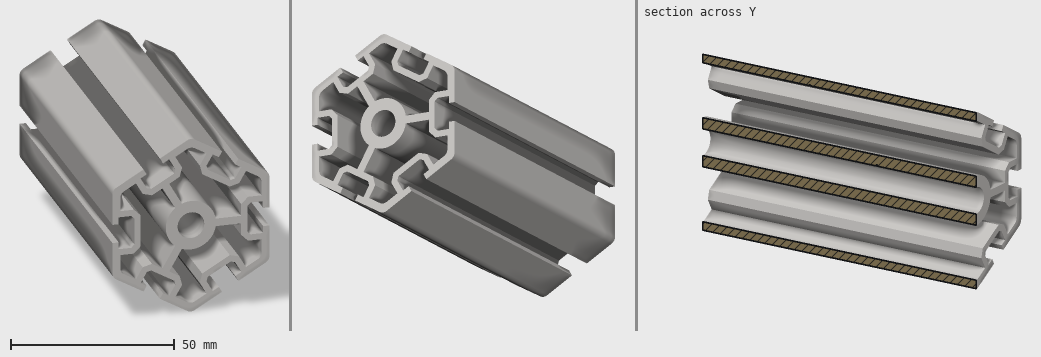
import cadquery as cq
import math

length = 100.0
across_flats = 50.0
outer_corner_radius = 2.5
wall = 2.5
inner_corner_radius = outer_corner_radius

side_count = 6
slot_opening = 6.0
lip_thickness = 2.0
slot_width = 10.5
slot_depth = 7.0
slot_chamfer = 1.0

channel_wall = 2.0
channel_width = slot_width + 2 * channel_wall
channel_depth = slot_depth + channel_wall
channel_chamfer = slot_chamfer + channel_wall * (2 - math.sqrt(2))

hub_diameter = 16.0
bore_diameter = 8.5
rib_count = 3
rib_thickness = 2.5

apothem = across_flats / 2


def hexagonal_bar(bar_apothem, corner_radius):
    """Hexagonal bar with flats facing +Y and -Y and rounded edges along X."""
    circumradius = bar_apothem / math.cos(math.pi / side_count)
    corner_angles = [math.pi / 2 + 2 * math.pi * i / side_count for i in range(side_count)]
    corners = [(circumradius * math.cos(a), circumradius * math.sin(a)) for a in corner_angles]
    bar = cq.Workplane("YZ").polyline(corners).close().extrude(length)
    return bar.edges("|X").fillet(corner_radius)


def side_bar(inner_y, outer_y, width):
    """Rectangular bar along X between two Y positions, centred on Z = 0."""
    middle_y = (inner_y + outer_y) / 2
    return cq.Workplane("YZ").center(middle_y, 0).rect(outer_y - inner_y, width).extrude(length)


def turned_copies(body, count):
    """The body repeated at equal angles around the X axis."""
    copies = body
    for i in range(1, count):
        copies = copies.union(body.rotate((0, 0, 0), (1, 0, 0), i * 360 / count))
    return copies


def channel():
    """Solid outer form of the channel on the +Y side, with its two inward corners bevelled."""
    block = side_bar(apothem - channel_depth, apothem - lip_thickness, channel_width)
    return block.faces("<Y").edges("|X").chamfer(channel_chamfer)


def slot():
    """Hollow of the T-slot on the +Y side: a wide cavity and a narrow opening."""
    cavity = side_bar(apothem - slot_depth, apothem - lip_thickness, slot_width)
    cavity = cavity.faces("<Y").edges("|X").chamfer(slot_chamfer)
    opening = side_bar(apothem - slot_depth, apothem, slot_opening)
    return cavity.union(opening)


def rib():
    """Rib on the +Y side from the hub centre to the floor of the channel."""
    return side_bar(0, apothem - slot_depth, rib_thickness)


outer_wall = hexagonal_bar(apothem, outer_corner_radius).cut(
    hexagonal_bar(apothem - wall, inner_corner_radius)
)
hub = cq.Workplane("YZ").circle(hub_diameter / 2).extrude(length)
bore = cq.Workplane("YZ").circle(bore_diameter / 2).extrude(length)

result = (
    outer_wall.union(turned_copies(channel(), side_count))
    .union(turned_copies(rib(), rib_count))
    .union(hub)
    .cut(turned_copies(slot(), side_count))
    .cut(bore)
)